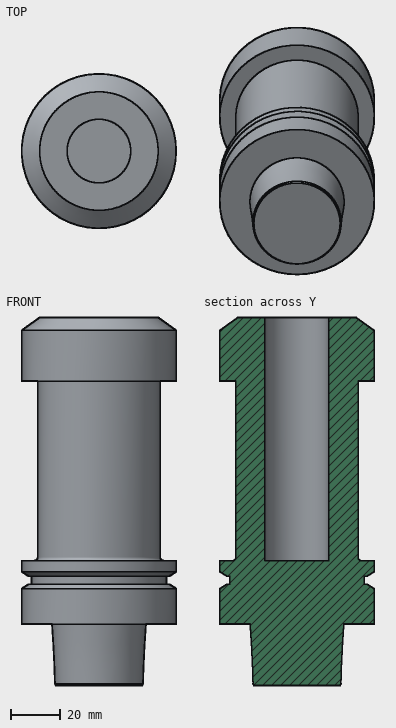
import cadquery as cq
import math

total_height = 150.0
outer_radius = 63.0 / 2

shank_height = 25.0
shank_top_radius = 19.2
shank_middle_radius = 18.5
shank_bottom_radius = 18.0
shank_chamfer_height = 0.9
shank_chamfer_width = 0.5

flange_top = 51.0
groove_radius = 55.0 / 2
groove_floor_bottom = 41.4
groove_floor_top = 44.5
groove_bevel_height = 1.8
groove_ledge_radius = 28.6

barrel_radius = 50.0 / 2
foot_fillet = 1.4

nut_height = 26.0
nut_cone_height = 5.2
nut_face_radius = 48.3 / 2

bore_diameter = 26.0
bore_depth = total_height - flange_top


def make_shank():
    """Shank with curved flank and a chamfered lower end."""
    middle_height = (shank_chamfer_height + shank_height) / 2
    return (
        cq.Workplane("XZ")
        .lineTo(shank_bottom_radius - shank_chamfer_width, 0)
        .lineTo(shank_bottom_radius, shank_chamfer_height)
        .threePointArc((shank_middle_radius, middle_height), (shank_top_radius, shank_height))
        .lineTo(0, shank_height)
        .close()
        .revolve(360, (0, 0, 0), (0, 1, 0))
    )


def make_flange():
    """Flange with its gripping groove."""
    return (
        cq.Workplane("XZ")
        .moveTo(0, shank_height)
        .lineTo(outer_radius, shank_height)
        .lineTo(outer_radius, groove_floor_bottom - groove_bevel_height)
        .lineTo(groove_ledge_radius, groove_floor_bottom)
        .lineTo(groove_radius, groove_floor_bottom)
        .lineTo(groove_radius, groove_floor_top)
        .lineTo(groove_ledge_radius, groove_floor_top)
        .lineTo(outer_radius, groove_floor_top + groove_bevel_height)
        .lineTo(outer_radius, flange_top)
        .lineTo(0, flange_top)
        .close()
        .revolve(360, (0, 0, 0), (0, 1, 0))
    )


def make_barrel():
    """Barrel with a filleted foot, topped by the nut."""
    nut_bottom = total_height - nut_height
    foot_radius = barrel_radius + foot_fillet
    fillet_top = flange_top + foot_fillet
    midpoint_inset = foot_fillet * (1 - math.sqrt(0.5))
    arc_midpoint = (barrel_radius + midpoint_inset, flange_top + midpoint_inset)
    return (
        cq.Workplane("XZ")
        .moveTo(0, flange_top)
        .lineTo(foot_radius, flange_top)
        .threePointArc(arc_midpoint, (barrel_radius, fillet_top))
        .lineTo(barrel_radius, nut_bottom)
        .lineTo(outer_radius, nut_bottom)
        .lineTo(outer_radius, total_height - nut_cone_height)
        .lineTo(nut_face_radius, total_height)
        .lineTo(0, total_height)
        .close()
        .revolve(360, (0, 0, 0), (0, 1, 0))
    )


body = make_shank().union(make_flange()).union(make_barrel())
result = body.faces(">Z").workplane(origin=(0, 0, total_height)).hole(bore_diameter, bore_depth)